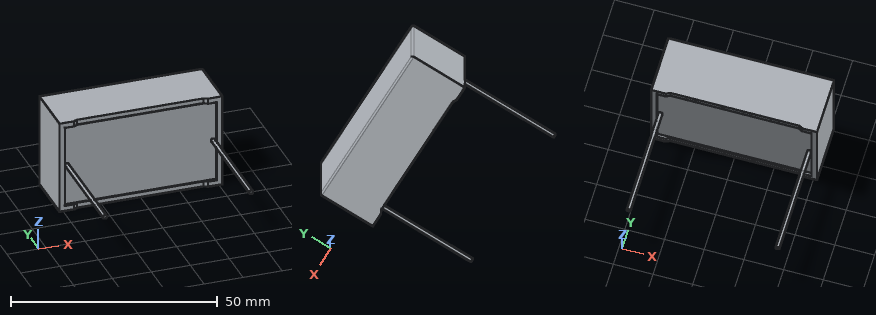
import cadquery as cq


CASE_WIDTH = 41.8
CASE_DEPTH = 15.1
CASE_HEIGHT = 24.3
WALL = 1.4
BACK_EDGE_RADIUS = 0.5

FOOT_WIDTH = 3.7
RELIEF_RAMP = 1.0
RELIEF_DEPTH = 0.5

POTTING_RECESS = 0.8

LEAD_PITCH = 37.5
LEAD_DIAMETER = 1.0
OVERALL_DEPTH = 42.1
LEAD_REACH = OVERALL_DEPTH - CASE_DEPTH

CAVITY_WIDTH = CASE_WIDTH - 2 * WALL
CAVITY_HEIGHT = CASE_HEIGHT - 2 * WALL
CAVITY_BACK = CASE_DEPTH - WALL


def block(width, height, front, back):
    """Block centred on X and Z that spans front to back along Y."""
    return cq.Workplane("XY").box(width, back - front, height).translate((0, (front + back) / 2, 0))


def make_relief():
    """Shallow trapezoid with ramped ends, running through the full case height."""
    mouth_half = CASE_WIDTH / 2 - FOOT_WIDTH
    floor_half = mouth_half - RELIEF_RAMP
    outline = [
        (-mouth_half, 0),
        (mouth_half, 0),
        (floor_half, RELIEF_DEPTH),
        (-floor_half, RELIEF_DEPTH),
    ]
    return cq.Workplane("XY").polyline(outline).close().extrude(CASE_HEIGHT / 2, both=True)


def make_case():
    """Box with rounded back edges, a front cavity and relieved upper and lower rims."""
    shell = block(CASE_WIDTH, CASE_HEIGHT, 0, CASE_DEPTH)
    shell = shell.faces(">Y").edges().fillet(BACK_EDGE_RADIUS)
    cavity = block(CAVITY_WIDTH, CAVITY_HEIGHT, 0, CAVITY_BACK)
    return shell.cut(cavity).cut(make_relief())


def make_potting():
    """Compound that fills the cavity up to a little below the rim."""
    return block(CAVITY_WIDTH, CAVITY_HEIGHT, POTTING_RECESS, CAVITY_BACK)


def make_lead(x):
    """Round wire that stands on the potting face and runs toward -Y."""
    return (
        cq.Workplane("XZ", origin=(x, POTTING_RECESS, 0))
        .circle(LEAD_DIAMETER / 2)
        .extrude(LEAD_REACH + POTTING_RECESS)
    )


case = make_case()
potting = make_potting()
leads = [make_lead(side * LEAD_PITCH / 2) for side in (-1, 1)]

result = cq.Compound.makeCompound([case.val(), potting.val(), *[lead.val() for lead in leads]])